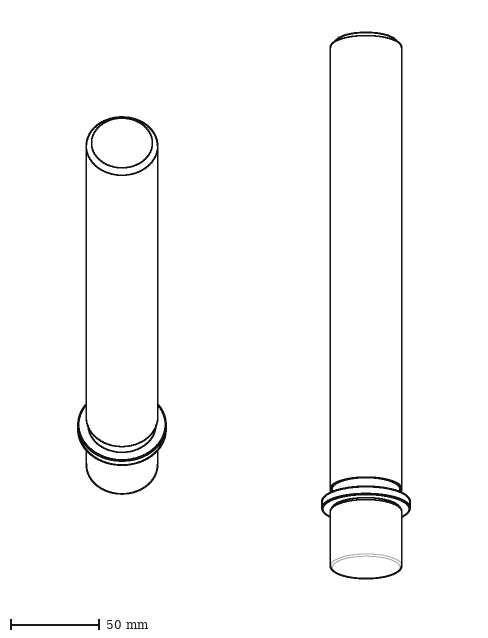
import cadquery as cq

total_length = 315.0
shaft_diameter = 40.5
collar_diameter = 50.0
neck_depth = 1.0

shank_length = 35.0
collar_thickness = 5.0
neck_length = 7.0

tip_chamfer = 3.0
bottom_fillet = 1.0
collar_chamfer = 0.5
shank_relief_height = 1.5
shank_relief_depth = 1.0

collar_top = shank_length + collar_thickness
shaft_bottom = collar_top + neck_length
shaft_radius = shaft_diameter / 2
collar_radius = collar_diameter / 2
neck_radius = shaft_radius - neck_depth


def make_turned_body():
    """Shank, collar, neck and shaft as one half-profile turned about the Z axis."""
    profile = (
        cq.Workplane("XZ")
        .lineTo(shaft_radius, 0)
        .lineTo(shaft_radius, shank_length - shank_relief_height)
        .lineTo(shaft_radius - shank_relief_depth, shank_length)
        .lineTo(collar_radius - collar_chamfer, shank_length)
        .lineTo(collar_radius, shank_length + collar_chamfer)
        .lineTo(collar_radius, collar_top - collar_chamfer)
        .lineTo(collar_radius - collar_chamfer, collar_top)
        .lineTo(neck_radius, collar_top)
        .lineTo(neck_radius, shaft_bottom)
        .lineTo(shaft_radius, shaft_bottom)
        .lineTo(shaft_radius, total_length - tip_chamfer)
        .lineTo(shaft_radius - tip_chamfer, total_length)
        .lineTo(0, total_length)
        .close()
    )
    axis_start = (0, 0, 0)
    axis_end = (0, 1, 0)
    return profile.revolve(360, axis_start, axis_end)


def round_bottom_rim(body):
    """Round the lower rim of the shank."""
    return body.faces("<Z").edges().fillet(bottom_fillet)


result = round_bottom_rim(make_turned_body())